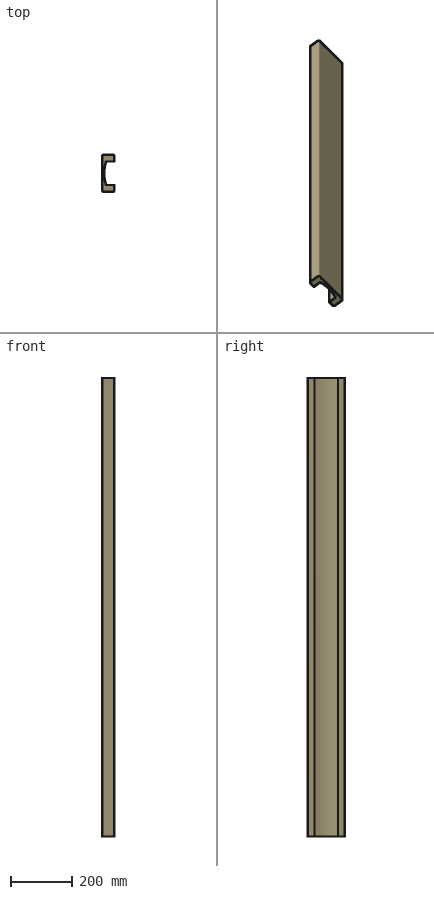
import cadquery as cq

length = 1500.0
width = 122.0
depth = 40.0
flange_thickness = 22.0
web_thickness_middle = 8.0
web_thickness_at_flange = 14.0
corner_radius = 6.0

back_x = -depth / 2
front_x = depth / 2
half_width = width / 2
half_opening = half_width - flange_thickness
floor_middle_x = back_x + web_thickness_middle
floor_edge_x = back_x + web_thickness_at_flange


def make_bar():
    """Solid bar with its four outer long edges rounded."""
    return cq.Workplane("XY").box(depth, width, length).edges("|Z").fillet(corner_radius)


def make_groove():
    """Full-length groove whose curved floor is deepest in the middle."""
    return (
        cq.Workplane("XY")
        .moveTo(front_x, -half_opening)
        .lineTo(floor_edge_x, -half_opening)
        .threePointArc((floor_middle_x, 0), (floor_edge_x, half_opening))
        .lineTo(front_x, half_opening)
        .close()
        .extrude(length / 2, both=True)
    )


result = make_bar().cut(make_groove())